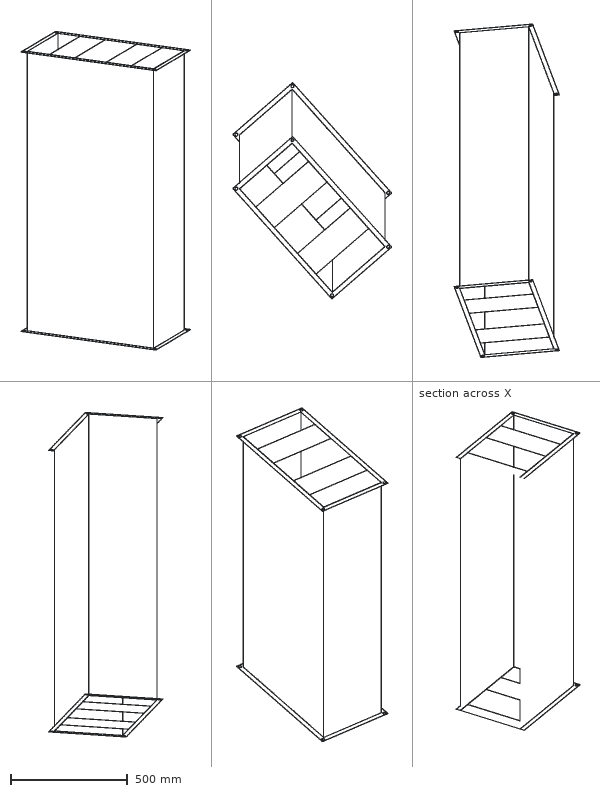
import cadquery as cq

passage_width = 600.0
passage_depth = 300.0
total_height = 1250.0
sheet = 1.0

flange_rim = 20.0
bolt_hole_diameter = 12.0
bolt_hole_inset = 11.0

strip_width = 120.0
strip_gap = 150.0

duct_width = passage_width + 2 * sheet
duct_depth = passage_depth + 2 * sheet
flange_width = duct_width + 2 * flange_rim
flange_depth = duct_depth + 2 * flange_rim
bolt_spacing_x = flange_width - 2 * bolt_hole_inset
bolt_spacing_y = flange_depth - 2 * bolt_hole_inset
strip_pitch = strip_width + strip_gap
end_levels = (0.0, total_height - sheet)


def make_flange(bottom_z):
    """Flat frame around the passage with a bolt hole in each corner."""
    frame = (
        cq.Workplane("XY", origin=(0, 0, bottom_z))
        .rect(flange_width, flange_depth)
        .rect(passage_width, passage_depth)
        .extrude(sheet)
    )
    bolt_holes = (
        cq.Workplane("XY", origin=(0, 0, bottom_z))
        .rect(bolt_spacing_x, bolt_spacing_y, forConstruction=True)
        .vertices()
        .circle(bolt_hole_diameter / 2)
        .extrude(sheet)
    )
    return frame.cut(bolt_holes)


def make_housing():
    """Rectangular sheet duct, open at both ends, with a flange at each end."""
    housing = (
        cq.Workplane("XY")
        .rect(duct_width, duct_depth)
        .rect(passage_width, passage_depth)
        .extrude(total_height)
    )
    for level in end_levels:
        housing = housing.union(make_flange(level))
    return housing.clean()


def make_cover_strip(center_x, bottom_z):
    """Thin strip reaching from the front wall to the back wall."""
    return (
        cq.Workplane("XY", origin=(center_x, 0, bottom_z))
        .rect(strip_width, passage_depth)
        .extrude(sheet)
    )


housing = make_housing()

cover_strips = []
for level in end_levels:
    for side in (-1, 1):
        cover_strips.append(make_cover_strip(side * strip_pitch / 2, level))

result = cq.Compound.makeCompound(
    [housing.solids().val()] + [strip.val() for strip in cover_strips]
)